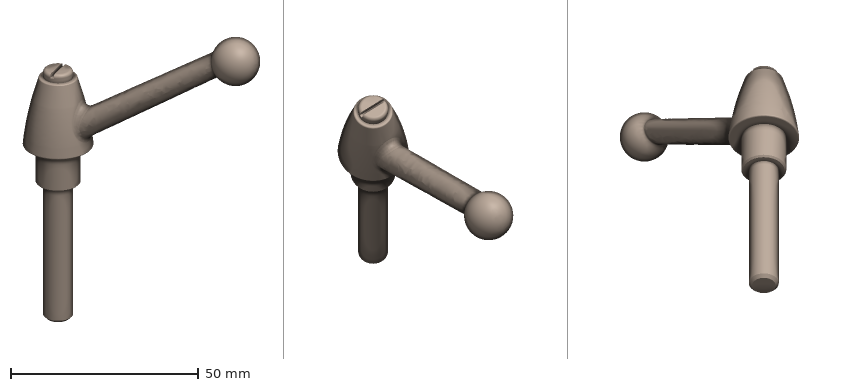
import cadquery as cq
import math

total_height = 94.0
sleeve_bottom = 40.2
hub_bottom = 51.5
hub_top = 71.7
screw_top = 74.1

stem_diameter = 8.0
stem_chamfer = 0.8
sleeve_diameter = 12.0
sleeve_chamfer = 0.5
screw_fillet = 0.9
slot_width = 1.0
slot_depth = 1.1

hub_base_radius = 9.5
hub_top_radius = 5.2
hub_middle_radius = 7.9
hub_middle_height = (hub_bottom + hub_top) / 2
hub_edge_fillet = 0.4

ball_radius = 6.6
ball_x = 52.4
ball_z = total_height - ball_radius

arm_angle = 33.9
arm_start_x = 3.8
arm_start_z = 56.6
arm_length = 53.6
arm_start_width = 8.3
arm_start_thickness = 7.5
arm_end_width = 7.9
arm_end_thickness = 6.6
arm_root_fillet = 1.9
arm_ball_fillet = 0.5

hub_joint_box = ((5.6, -5.6, 53.6), (13.2, 5.6, 68.6))
ball_joint_box = ((43.2, -5.6, 77.1), (50.8, 5.6, 91.2))


def make_cylinder(diameter, bottom, top):
    """Cylinder on the stem axis between two heights."""
    return cq.Workplane("XY").workplane(offset=bottom).circle(diameter / 2).extrude(top - bottom)


def make_hub():
    """Body of revolution with an arc flank and softened rims, its seam facing away from the arm."""
    profile = (
        cq.Workplane("XZ")
        .moveTo(0, hub_bottom)
        .lineTo(-hub_base_radius, hub_bottom)
        .threePointArc((-hub_middle_radius, hub_middle_height), (-hub_top_radius, hub_top))
        .lineTo(0, hub_top)
        .close()
    )
    hub = profile.revolve(360, (0, 0, 0), (0, 1, 0))
    return hub.faces("<Z or >Z").edges().fillet(hub_edge_fillet)


def make_arm():
    """Loft between two ellipses square to the sloping arm axis."""
    slope = math.radians(arm_angle)
    start_plane = cq.Plane(
        origin=(arm_start_x, 0, arm_start_z),
        xDir=(0, 1, 0),
        normal=(math.cos(slope), 0, math.sin(slope)),
    )
    return (
        cq.Workplane(start_plane)
        .ellipse(arm_start_width / 2, arm_start_thickness / 2)
        .workplane(offset=arm_length)
        .ellipse(arm_end_width / 2, arm_end_thickness / 2)
        .loft()
    )


def make_screw():
    """Rounded screw head on top of the hub, slotted along Y."""
    head = make_cylinder(stem_diameter, hub_top, screw_top).faces(">Z").edges().fillet(screw_fillet)
    slot = (
        cq.Workplane("XY")
        .workplane(offset=screw_top - slot_depth)
        .rect(slot_width, 2 * stem_diameter)
        .extrude(2 * slot_depth)
    )
    return head.cut(slot)


arm = make_arm()
ball = cq.Workplane("XY").sphere(ball_radius).translate((ball_x, 0, ball_z))
lever = make_hub().union(arm)
lever = lever.edges(cq.selectors.BoxSelector(*hub_joint_box)).fillet(arm_root_fillet)
lever = lever.union(ball)
lever = lever.edges(cq.selectors.BoxSelector(*ball_joint_box)).fillet(arm_ball_fillet)

stem = make_cylinder(stem_diameter, 0, sleeve_bottom).faces("<Z").edges().chamfer(stem_chamfer)
sleeve = make_cylinder(sleeve_diameter, sleeve_bottom, hub_bottom).faces("<Z").edges().chamfer(sleeve_chamfer)

result = lever.union(sleeve).union(stem).union(make_screw())